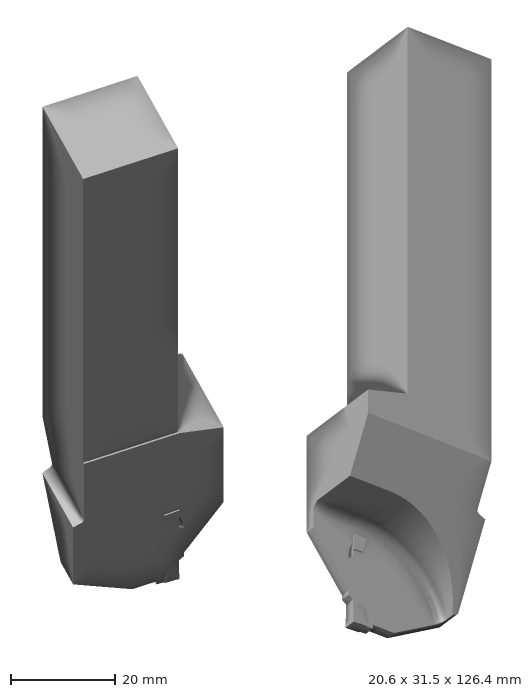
import cadquery as cq
import math


total_length = 126.4
shank_depth = 19.8
shank_right = 20.0
head_right = 20.3
side_lean = 0.08
foot_back = 29.2
foot_root_z = 42.7
foot_edge_z = 40.2
foot_bottom_z = 18.2
pocket_corner_z = 7.0
lip_depth = 2.3
lip_root_z = 25.6
lip_edge_z = 25.0
lip_root_radius = 0.8
lip_bottom_z = 8.2
head_bottom_z = 1.1
head_bottom_front = 10.1
incline_top_z = 34.9
incline_angle = 28.1

blade_left = 18.1
clearance_radius = 21.7
clearance_z = 1.9
clearance_fillet = 1.8

insert_height = 20.2
insert_front = 15.2
insert_back = 19.8
insert_rib_back = 20.8
insert_end_slope = 0.3
rib_start_z = 5.2
rib_full_z = 6.0
tip_front = 16.7
tip_inner_front = 17.7
tip_inner_low_z = 3.5
tip_inner_high_z = 3.7
tip_left = 17.8
tip_right = 20.6

relief_top_z = 18.3
relief_knee_z = 16.7
relief_knee_back = 20.6
relief_full_z = 15.4

margin = 6.3
pick = 0.1


def prism_x(points, left, right):
    """Extrude a closed (Y, Z) outline between two X positions."""
    return cq.Workplane("YZ").workplane(offset=left).polyline(points).close().extrude(right - left)


def make_blank():
    outline = [
        (0, total_length),
        (shank_depth, total_length),
        (shank_depth, foot_root_z),
        (foot_back, foot_edge_z),
        (foot_back, foot_bottom_z),
        (insert_rib_back, pocket_corner_z),
        (insert_front, head_bottom_z),
        (head_bottom_front, head_bottom_z),
        (-lip_depth, lip_bottom_z),
        (-lip_depth, lip_edge_z),
        (0, lip_root_z),
    ]
    blank = prism_x(outline, 0, head_right)
    lip_root = cq.selectors.BoxSelector(
        (-margin, -pick, lip_root_z - pick), (head_right + margin, pick, lip_root_z + pick)
    )
    return blank.edges(lip_root).fillet(lip_root_radius)


def make_shank_step():
    """Strip that narrows the shank on its right face above the head."""
    return cq.Workplane("XY").workplane(offset=foot_root_z).moveTo(shank_right, -margin).rect(
        margin, foot_back + 2 * margin, centered=False
    ).extrude(total_length)


def make_left_trim():
    """Wedge that gives the left face its slight lean."""
    outline = [
        (0, foot_back),
        (side_lean * (1 + lip_depth / foot_back), -lip_depth),
        (-margin, -lip_depth),
        (-margin, foot_back),
    ]
    return cq.Workplane("XY").polyline(outline).close().extrude(total_length)


def make_incline():
    """Wedge below the sloping left side of the head."""
    reach = incline_top_z * math.tan(math.radians(incline_angle))
    outline = [(0, incline_top_z), (reach, 0), (-margin, 0), (-margin, incline_top_z)]
    return cq.Workplane("XZ").workplane(offset=-foot_back - margin).polyline(outline).close().extrude(
        foot_back + lip_depth + 2 * margin
    )


def make_clearance():
    """Circular clearance with a rounded floor edge, running straight out through the foot."""
    center_y = shank_depth
    top_z = clearance_z + clearance_radius
    diagonal = clearance_radius * math.sqrt(0.5)
    back = foot_back + margin
    cutter = (
        cq.Workplane("YZ").workplane(offset=-margin)
        .moveTo(back, top_z)
        .lineTo(center_y, top_z)
        .threePointArc((center_y - diagonal, clearance_z + diagonal), (center_y - clearance_radius, clearance_z))
        .lineTo(center_y - clearance_radius, -margin)
        .lineTo(back, -margin)
        .close().extrude(blade_left + margin)
    )
    floor_edges = cq.selectors.BoxSelector(
        (blade_left - pick, -margin, clearance_z), (blade_left + pick, back + margin, top_z + margin)
    )
    return cutter.edges(floor_edges).fillet(clearance_fillet)


def make_pocket():
    outline = [
        (insert_front, -margin),
        (insert_front, insert_height - insert_end_slope),
        (insert_back, insert_height),
        (insert_back, relief_top_z),
        (relief_knee_back, relief_knee_z),
        (insert_rib_back, relief_full_z),
        (insert_rib_back, -margin),
    ]
    return prism_x(outline, 0, head_right + margin)


def make_holder():
    holder = make_blank().cut(make_shank_step()).cut(make_left_trim()).cut(make_incline())
    return holder.cut(make_clearance()).cut(make_pocket())


def make_tip():
    """Lower cutting tip, proud of the blade and tapering back to it on the right."""
    outline = [
        (insert_back, 0),
        (tip_front, insert_end_slope * (insert_back - tip_front) / (insert_back - insert_front)),
        (tip_inner_front, tip_inner_low_z),
        (insert_back, tip_inner_high_z),
    ]
    taper = [(tip_left, 0), (tip_right, 0), (head_right, tip_inner_high_z), (tip_left, tip_inner_high_z)]
    taper_solid = cq.Workplane("XZ").workplane(offset=-foot_back).polyline(taper).close().extrude(foot_back)
    return prism_x(outline, tip_left, tip_right).intersect(taper_solid)


def make_insert():
    lower_half = [
        (insert_front, insert_end_slope),
        (insert_back, 0),
        (insert_back, rib_start_z),
        (insert_rib_back, rib_full_z),
    ]
    upper_half = [(y, insert_height - z) for y, z in reversed(lower_half)]
    body = prism_x(lower_half + upper_half, blade_left, head_right)
    lower_tip = make_tip()
    upper_tip = lower_tip.mirror("XY", (0, 0, insert_height / 2))
    return body.union(lower_tip).union(upper_tip)


holder = make_holder()
cutting_insert = make_insert()

result = cq.Compound.makeCompound([holder.val(), cutting_insert.val()])